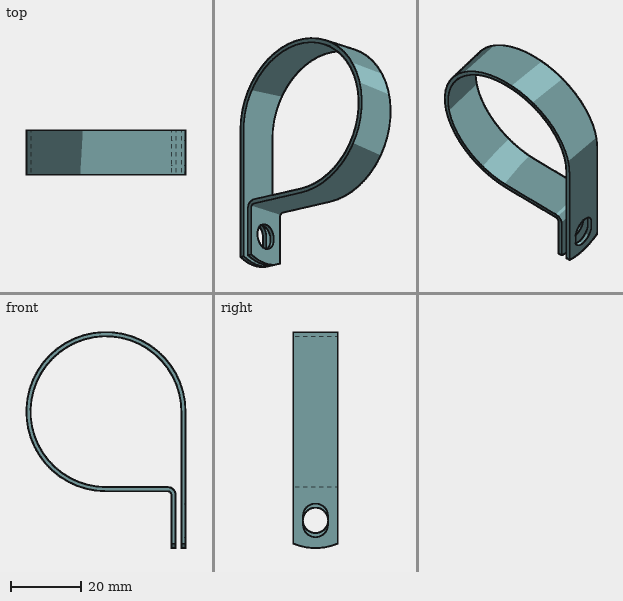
import cadquery as cq

band_width = 12.7
strip_thickness = 1.245
loop_outer_radius = 22.645
tab_gap = 1.58
bend_inner_radius = 1.05
tab_drop = 38.805
hole_diameter = 7.14
slot_length = 9.525
hole_edge_distance = 7.92
tab_end_sag = 1.3

loop_inner_radius = loop_outer_radius - strip_thickness
bend_outer_radius = bend_inner_radius + strip_thickness
inner_tab_right = loop_inner_radius - tab_gap
inner_tab_left = inner_tab_right - strip_thickness
bend_x = inner_tab_right - bend_outer_radius
bend_z = -loop_inner_radius - bend_outer_radius
half_width = band_width / 2
tab_corner_z = tab_end_sag - tab_drop
hole_z = hole_edge_distance - tab_drop


def make_strip():
    """Bent strip: three-quarter loop, straight tab on +X, and a bent-down inner tab.

    The loop axis is Y, through the origin.
    """
    diagonal = 0.5 ** 0.5
    loop_mid_outer = loop_outer_radius * diagonal
    loop_mid_inner = loop_inner_radius * diagonal
    bend_mid_outer = bend_outer_radius * diagonal
    bend_mid_inner = bend_inner_radius * diagonal
    return (
        cq.Workplane("XZ")
        .moveTo(loop_outer_radius, -tab_drop)
        .lineTo(loop_outer_radius, 0)
        .threePointArc((-loop_mid_outer, loop_mid_outer), (0, -loop_outer_radius))
        .lineTo(bend_x, -loop_outer_radius)
        .threePointArc((bend_x + bend_mid_inner, bend_z + bend_mid_inner), (inner_tab_left, bend_z))
        .lineTo(inner_tab_left, -tab_drop)
        .lineTo(inner_tab_right, -tab_drop)
        .lineTo(inner_tab_right, bend_z)
        .threePointArc((bend_x + bend_mid_outer, bend_z + bend_mid_outer), (bend_x, -loop_inner_radius))
        .lineTo(0, -loop_inner_radius)
        .threePointArc((-loop_mid_inner, loop_mid_inner), (loop_inner_radius, 0))
        .lineTo(loop_inner_radius, -tab_drop)
        .close()
        .extrude(half_width, both=True)
    )


def make_side_outline():
    """Block along X with the side outline of the clamp, arched at the tab ends."""
    return (
        cq.Workplane("YZ")
        .moveTo(-half_width, loop_outer_radius)
        .lineTo(-half_width, tab_corner_z)
        .threePointArc((0, -tab_drop), (half_width, tab_corner_z))
        .lineTo(half_width, loop_outer_radius)
        .close()
        .extrude(loop_outer_radius, both=True)
    )


def make_round_hole():
    """Cylinder along X through the inner tab."""
    return (
        cq.Workplane("YZ", origin=(inner_tab_left, 0, hole_z))
        .circle(hole_diameter / 2)
        .extrude(strip_thickness)
    )


def make_slot():
    """Round-ended cutter along X through the straight tab, long in Z, as wide as the round hole."""
    return (
        cq.Workplane("YZ", origin=(loop_inner_radius, 0, hole_z))
        .slot2D(slot_length, hole_diameter, 90)
        .extrude(strip_thickness)
    )


clamp = make_strip().intersect(make_side_outline())
result = clamp.cut(make_round_hole()).cut(make_slot())